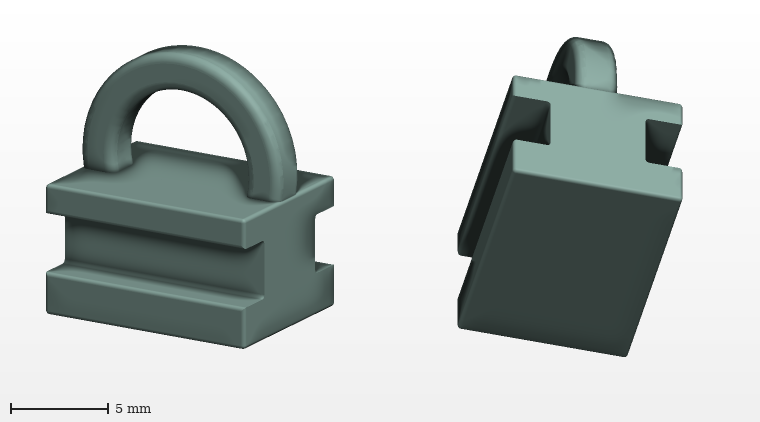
import cadquery as cq

length = 12.0
width = 9.0
block_height = 7.0
lower_flange_height = 2.25
upper_flange_height = 1.6
web_width = 5.04
edge_radius = 0.2

total_height = 14.0
eye_outer_radius = length / 2
eye_inner_radius = 4.0
eye_thickness = 2.25
eye_edge_radius = 0.5
eye_center_z = total_height - eye_outer_radius

groove_height = block_height - lower_flange_height - upper_flange_height
groove_center_z = lower_flange_height + groove_height / 2


def make_block():
    """I-shaped block with rounded outer edges and groove corners."""
    groove_depth = (width - web_width) / 2
    block = cq.Workplane("XY").box(length, width, block_height, centered=(True, True, False))
    for side in (-1, 1):
        groove = (
            cq.Workplane("XY")
            .box(length, groove_depth, groove_height)
            .translate((0, side * (width - groove_depth) / 2, groove_center_z))
        )
        block = block.cut(groove)

    groove_corners = cq.selectors.BoxSelector(
        (-length, -0.51 * web_width, 0.1 * block_height),
        (length, 0.51 * web_width, 0.9 * block_height),
    )
    block = block.edges("|X").edges(groove_corners).fillet(edge_radius)

    outer_edges = block.faces("<Y or >Y or <Z or >Z").edges()
    return outer_edges.fillet(edge_radius)


def make_eye():
    """Ring with rounded rims, with its feet sunk just below the top of the block."""
    ring = (
        cq.Workplane("XZ", origin=(0, 0, eye_center_z))
        .circle(eye_outer_radius)
        .circle(eye_inner_radius)
        .extrude(eye_thickness / 2, both=True)
        .edges()
        .fillet(eye_edge_radius)
    )
    above_block = (
        cq.Workplane("XY", origin=(0, 0, block_height - edge_radius))
        .box(length, width, total_height, centered=(True, True, False))
    )
    return ring.intersect(above_block)


result = make_block().union(make_eye())